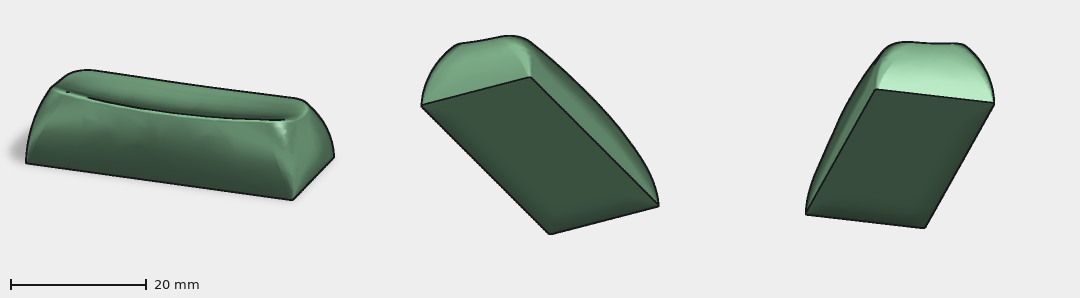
import cadquery as cq
import math

LENGTH = 42.05
WIDTH = 18.25
BASE_CORNER = 0.5

RIM_HEIGHT = 9.35
RIM_TILT = 5.0
SECTION_LEVELS = (0.0, 0.3, 0.65, 1.0, 1.25)

SIDE_INSET = 1.3
SIDE_POWER = 2.4
END_INSET = 1.5
END_POWER = 2.7

SIDE_CORNER_SPREAD = 4.55
SIDE_CORNER_POWER = 1.3
END_CORNER_SPREAD = 5.4
END_CORNER_POWER = 1.5

SIDE_BOW = 0.93
END_BOW = 0.13
BOW_POWER = 2.0

DISH_LOW_Z = 8.0
DISH_LOW_Y = 1.45
DISH_CROSS_RADIUS = 16.1
DISH_LONG_RADIUS = 109.35
DISH_HALF_WIDTH = 12.6
DISH_SWEEP = 30.0
DISH_TOP = 18.92
RIM_FILLET = 0.65


def blend_corner(first_wall, second_wall):
    """Curve joining two walls, tangent to both."""
    ends = [first_wall.endPoint(), second_wall.startPoint()]
    tangents = [first_wall.tangentAt(1), second_wall.tangentAt(0)]
    return cq.Edge.makeSpline(ends, tangents)


def wall_section(level):
    """Closed outline of the body at a fraction of the rim height."""
    end_x = LENGTH / 2 - END_INSET * level**END_POWER
    side_y = WIDTH / 2 - SIDE_INSET * level**SIDE_POWER
    corner_x = LENGTH / 2 - BASE_CORNER - SIDE_CORNER_SPREAD * level**SIDE_CORNER_POWER
    corner_y = WIDTH / 2 - BASE_CORNER - END_CORNER_SPREAD * level**END_CORNER_POWER
    side_corner_y = side_y - SIDE_BOW * level**BOW_POWER
    end_corner_x = end_x - END_BOW * level**BOW_POWER

    slope = level * math.tan(math.radians(RIM_TILT))

    def point(x, y):
        return cq.Vector(x, y, RIM_HEIGHT * level - slope * y)

    def wall(start, middle, end):
        if level == 0:
            return cq.Edge.makeLine(point(*start), point(*end))
        return cq.Edge.makeThreePointArc(point(*start), point(*middle), point(*end))

    walls = [
        wall((-corner_x, -side_corner_y), (0, -side_y), (corner_x, -side_corner_y)),
        wall((end_corner_x, -corner_y), (end_x, 0), (end_corner_x, corner_y)),
        wall((corner_x, side_corner_y), (0, side_y), (-corner_x, side_corner_y)),
        wall((-end_corner_x, corner_y), (-end_x, 0), (-end_corner_x, -corner_y)),
    ]
    edges = []
    for this_wall, next_wall in zip(walls, walls[1:] + walls[:1]):
        edges += [this_wall, blend_corner(this_wall, next_wall)]
    return cq.Wire.assembleEdges(edges)


def make_body():
    """Solid lofted smoothly through the wall sections, rising above the rim."""
    return cq.Solid.makeLoft([wall_section(level) for level in SECTION_LEVELS])


def make_dish():
    """Cutter with an arc across the cap, swept around a long arc along the cap."""
    edge_rise = DISH_CROSS_RADIUS - math.sqrt(DISH_CROSS_RADIUS**2 - DISH_HALF_WIDTH**2)
    edge_z = DISH_LOW_Z + edge_rise
    front_y = DISH_LOW_Y - DISH_HALF_WIDTH
    back_y = DISH_LOW_Y + DISH_HALF_WIDTH
    axis_z = DISH_LOW_Z + DISH_LONG_RADIUS
    axis_start = (0, axis_z, 0)
    axis_end = (1, axis_z, 0)
    cutter = (
        cq.Workplane("YZ")
        .moveTo(front_y, edge_z)
        .threePointArc((DISH_LOW_Y, DISH_LOW_Z), (back_y, edge_z))
        .lineTo(back_y, DISH_TOP)
        .lineTo(front_y, DISH_TOP)
        .close()
        .revolve(DISH_SWEEP, axis_start, axis_end)
    )
    return cutter.rotate((0, 0, axis_z), (0, 1, axis_z), -DISH_SWEEP / 2)


def round_rim(cap):
    """Fillet the edge all around the dish face."""
    dish_face = cq.selectors.NearestToPointSelector((0, 0, DISH_LOW_Z))
    return cap.faces(dish_face).edges().fillet(RIM_FILLET)


body = cq.Workplane(obj=make_body())
dished = body.cut(make_dish())
result = cq.Workplane(obj=round_rim(dished).solids().val())